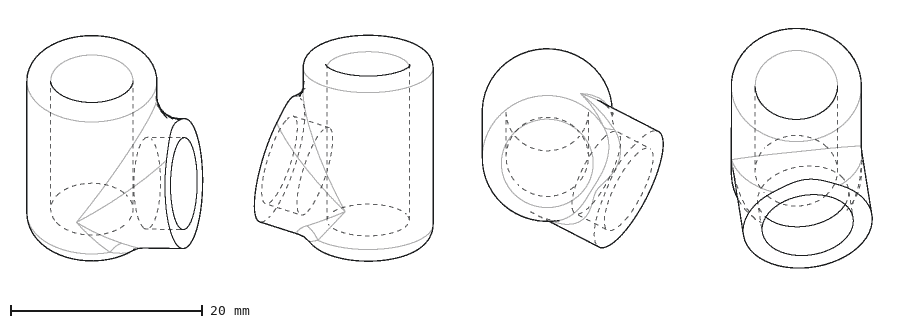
import cadquery as cq
import math

tube_diameter = 13.6
tube_height = 21.0
tube_bore_diameter = 8.6
tube_wall = (tube_diameter - tube_bore_diameter) / 2
tube_floor = tube_wall
rim_radius = tube_wall / 2
rim_height = tube_height - rim_radius
foot_radius = 2.0

branch_diameter = tube_diameter
branch_bore_diameter = 9.6
branch_bore_depth = 4.0
branch_heading = 45.0
branch_rise = 10.0
branch_axis_height = 6.1
branch_length = 10.04
branch_overrun = 4.0
blend_radius = 3.0

heading = math.radians(branch_heading)
rise = math.radians(branch_rise)
branch_direction = cq.Vector(
    math.cos(rise) * math.cos(heading),
    math.cos(rise) * math.sin(heading),
    math.sin(rise),
)
branch_origin = cq.Vector(0, 0, branch_axis_height)


def branch_cylinder(diameter, start, length):
    """Cylinder on the branch axis, beginning 'start' out from the sleeve axis."""
    base = branch_origin + branch_direction * start
    return cq.Workplane(cq.Solid.makeCylinder(diameter / 2, length, base, branch_direction))


def make_sleeve():
    """Solid post with a rounded foot, its seam turned away from the branch."""
    sleeve = cq.Workplane("XY").circle(tube_diameter / 2).extrude(rim_height)
    sleeve = sleeve.faces("<Z").edges().fillet(foot_radius)
    return sleeve.rotate((0, 0, 0), (0, 0, 1), branch_heading + 180)


def trim_below_base(body):
    """Remove whatever the branch pushes out under the foot plane."""
    size = 2 * tube_height
    return body.cut(cq.Workplane("XY").rect(size, size).extrude(-size))


def blend_branch(body):
    """Round the valley where the branch meets the sleeve."""
    return body.edges("%ELLIPSE").fillet(blend_radius)


def make_body():
    """Sleeve and branch blended together, with the branch cut square at its mouth."""
    long_branch = branch_cylinder(branch_diameter, 0, branch_length + branch_overrun)
    body = trim_below_base(make_sleeve().union(long_branch))
    body = blend_branch(body)
    return body.cut(branch_cylinder(2 * branch_diameter, branch_length, 2 * branch_overrun))


def make_rim():
    """Ring that gives the sleeve wall a fully rounded top."""
    ring_radius = (tube_diameter + tube_bore_diameter) / 4
    return cq.Workplane(cq.Solid.makeTorus(ring_radius, rim_radius, cq.Vector(0, 0, rim_height)))


def cut_bores(body):
    """Blind bores from the top of the sleeve and from the mouth of the branch."""
    tube_bore = (
        cq.Workplane("XY", origin=(0, 0, tube_floor))
        .circle(tube_bore_diameter / 2)
        .extrude(tube_height)
    )
    branch_bore = branch_cylinder(
        branch_bore_diameter, branch_length - branch_bore_depth, branch_bore_depth
    )
    return body.cut(tube_bore).cut(branch_bore)


result = cut_bores(make_body()).union(make_rim())